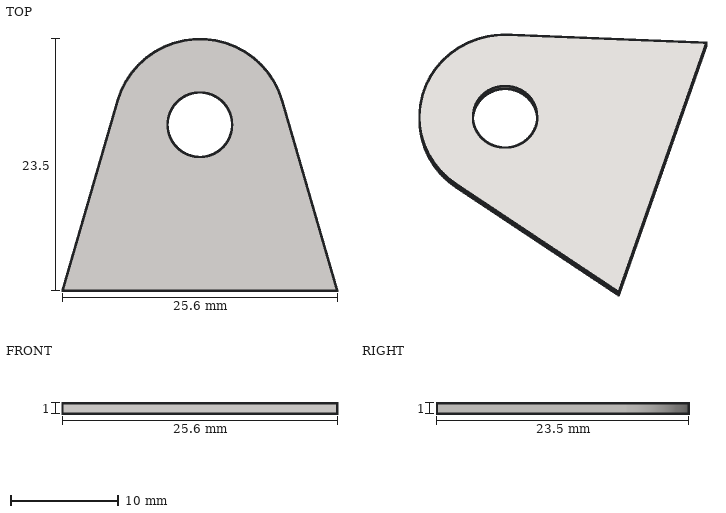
import cadquery as cq
import math

base_width = 25.65
thickness = 1.0
hole_diameter = 6.0
head_radius = 8.0
hole_height = 15.5

half_base = base_width / 2
corner_to_centre = math.hypot(half_base, hole_height)
flank_angle = math.atan2(hole_height, half_base) + math.asin(head_radius / corner_to_centre)
tangent_x = head_radius * math.sin(flank_angle)
tangent_y = hole_height + head_radius * math.cos(flank_angle)

tab = (
    cq.Workplane("XY")
    .moveTo(-half_base, 0)
    .lineTo(half_base, 0)
    .lineTo(tangent_x, tangent_y)
    .threePointArc((0, hole_height + head_radius), (-tangent_x, tangent_y))
    .close()
    .extrude(thickness)
)

hole = (
    cq.Workplane("XY")
    .center(0, hole_height)
    .circle(hole_diameter / 2)
    .extrude(thickness)
)

result = tab.cut(hole)